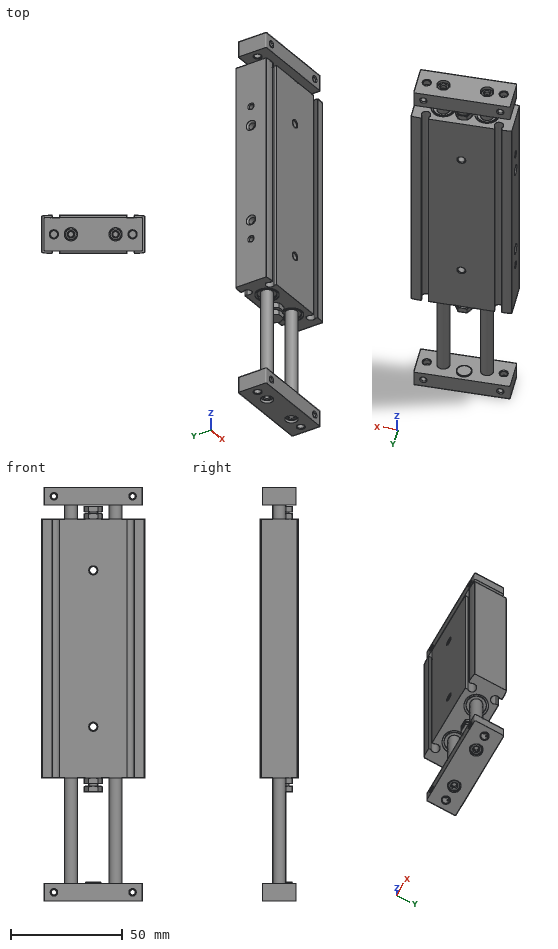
import cadquery as cq
import math

total_height = 184.9

plate_width = 44.0
plate_depth = 15.0
plate_height = 8.0
plate_corner_radius = 0.5

housing_width = 46.0
housing_depth = 17.0
housing_height = 115.5
top_gap = 6.3
corner_arc_width = 2.8
corner_arc_drop = 0.28
corner_chamfer = 0.28

groove_offset = 16.6
groove_mouth = 3.1
groove_diameter = 4.0
groove_depth = 2.5
groove_lip_chamfer = 0.28

recess_rim = 11.0
recess_rim_depth = 0.4
recess_diameter = 9.0
recess_depth = 1.1

rod_diameter = 6.0
rod_offset = 10.0
rod_recess = 1.0
rod_tip_chamfer = 0.5
rod_end_hole_depth = 2.2

small_bore = 2.4
small_rim = 3.3
medium_bore = 3.3
medium_rim = 4.0
plate_hole_offset = 17.5
face_hole_spacing = 69.9
side_hole_depth = 3.7
port_spacing = 50.0
port_rim = 5.0
port_bore = 3.3
port_passage = 2.4
port_passage_depth = 5.5

stop_offset = 2.4
hex_flats = 7.0
hex_height = 2.5
shank_diameter = 4.0
shank_insertion = 11.1
top_stop_length = 5.7
bottom_stop_length = 6.3
bumper_diameter = 7.0
bumper_height = 0.5
bumper_chamfer = 0.28

top_z = total_height / 2
bottom_z = -total_height / 2
housing_top = top_z - plate_height - top_gap
housing_bottom = housing_top - housing_height
housing_middle = (housing_top + housing_bottom) / 2


def cylinder(diameter, length, start, direction):
    """Solid cylinder running from a start point along a direction."""
    solid = cq.Solid.makeCylinder(diameter / 2, length, cq.Vector(*start), cq.Vector(*direction))
    return cq.Workplane(solid)


def cone(start_diameter, end_diameter, start, direction):
    """45-degree cone running from one diameter to the other."""
    length = abs(start_diameter - end_diameter) / 2
    origin = cq.Vector(*start)
    axis = cq.Vector(*direction)
    return cq.Workplane(cq.Solid.makeCone(start_diameter / 2, end_diameter / 2, length, origin, axis))


def screw_hole(bore, rim, depth, start, direction):
    """Cutter for a hole with a 45-degree countersink at its mouth."""
    return cylinder(bore, depth, start, direction).union(cone(rim, bore, start, direction))


def through_screw_hole(bore, rim, length, start, direction):
    """Cutter for a through hole countersunk at both mouths."""
    end = cq.Vector(*start) + cq.Vector(*direction) * length
    back = cq.Vector(*direction) * -1
    far_countersink = cone(rim, bore, end.toTuple(), back.toTuple())
    return screw_hole(bore, rim, length, start, direction).union(far_countersink)


def housing_blank():
    """Extruded block; each long corner is a shallow arc ending in a small chamfer."""
    half_width = housing_width / 2
    half_depth = housing_depth / 2
    arc_end = half_width - corner_chamfer
    arc_start = arc_end - corner_arc_width
    shoulder = half_depth - corner_arc_drop
    side_end = shoulder - corner_chamfer
    radius = (corner_arc_width**2 + corner_arc_drop**2) / (2 * corner_arc_drop)
    return (
        cq.Workplane("XY", origin=(0, 0, housing_bottom))
        .moveTo(-arc_start, -half_depth)
        .lineTo(arc_start, -half_depth)
        .radiusArc((arc_end, -shoulder), -radius)
        .lineTo(half_width, -side_end)
        .lineTo(half_width, side_end)
        .lineTo(arc_end, shoulder)
        .radiusArc((arc_start, half_depth), -radius)
        .lineTo(-arc_start, half_depth)
        .radiusArc((-arc_end, shoulder), -radius)
        .lineTo(-half_width, side_end)
        .lineTo(-half_width, -side_end)
        .lineTo(-arc_end, -shoulder)
        .radiusArc((-arc_start, -half_depth), -radius)
        .close()
        .extrude(housing_height)
    )


def switch_groove(side_x, side_y):
    """Cutter for one full-length groove; the outer lip of its mouth is chamfered."""
    x = side_x * groove_offset
    y = side_y * (housing_depth / 2 - groove_depth)
    channel = cylinder(groove_diameter, housing_height, (x, y, housing_bottom), (0, 0, 1))
    surface = side_y * housing_depth / 2
    inner_edge = x - side_x * groove_mouth / 2
    outer_edge = x + side_x * groove_mouth / 2
    mouth = (
        cq.Workplane("XY", origin=(0, 0, housing_bottom))
        .moveTo(inner_edge, y)
        .lineTo(inner_edge, surface)
        .lineTo(outer_edge + side_x * groove_lip_chamfer, surface)
        .lineTo(outer_edge, surface - side_y * groove_lip_chamfer)
        .lineTo(outer_edge, y)
        .close()
        .extrude(housing_height)
    )
    return channel.union(mouth)


def make_housing():
    body = housing_blank()
    for side_x in (-1, 1):
        rod_start = (side_x * rod_offset, 0, housing_bottom)
        body = body.cut(cylinder(rod_diameter, housing_height, rod_start, (0, 0, 1)))
        for side_y in (-1, 1):
            body = body.cut(switch_groove(side_x, side_y))

    front = -housing_depth / 2
    left = -housing_width / 2
    for side in (-1, 1):
        hole_z = housing_middle + side * face_hole_spacing / 2
        port_z = housing_middle + side * port_spacing / 2
        body = body.cut(
            through_screw_hole(medium_bore, medium_rim, housing_depth, (0, front, hole_z), (0, 1, 0))
        )
        body = body.cut(screw_hole(small_bore, small_rim, side_hole_depth, (left, 0, hole_z), (1, 0, 0)))
        body = body.cut(screw_hole(port_bore, port_rim, side_hole_depth, (left, 0, port_z), (1, 0, 0)))
        body = body.cut(cylinder(port_passage, port_passage_depth, (left, 0, port_z), (1, 0, 0)))

    for end_z, inward in ((housing_top, -1), (housing_bottom, 1)):
        body = body.cut(cylinder(shank_diameter, shank_insertion, (0, stop_offset, end_z), (0, 0, inward)))
        for side in (-1, 1):
            rod_centre = (side * rod_offset, 0, end_z)
            body = body.cut(cylinder(recess_rim, recess_rim_depth, rod_centre, (0, 0, inward)))
            body = body.cut(cylinder(recess_diameter, recess_depth, rod_centre, (0, 0, inward)))
    return body


def make_plate(bottom):
    """End plate with two rod bores, two vertical screw holes and two cross holes."""
    plate = (
        cq.Workplane("XY", origin=(0, 0, bottom))
        .rect(plate_width, plate_depth)
        .extrude(plate_height)
        .edges("|Z")
        .fillet(plate_corner_radius)
    )
    middle_z = bottom + plate_height / 2
    for side in (-1, 1):
        hole_x = side * plate_hole_offset
        rod_x = side * rod_offset
        cross_start = (hole_x, -plate_depth / 2, middle_z)
        plate = plate.cut(through_screw_hole(small_bore, small_rim, plate_depth, cross_start, (0, 1, 0)))
        plate = plate.cut(
            through_screw_hole(medium_bore, medium_rim, plate_height, (hole_x, 0, bottom), (0, 0, 1))
        )
        plate = plate.cut(cylinder(rod_diameter, plate_height, (rod_x, 0, bottom), (0, 0, 1)))
    return plate


def make_rod(x):
    """Rod through both plates, with chamfered tips and a centre hole in each end."""
    length = total_height - 2 * rod_recess
    rod = cylinder(rod_diameter, length, (x, 0, -length / 2), (0, 0, 1))
    rod = rod.faces("<Z or >Z").edges().chamfer(rod_tip_chamfer)
    for end in (-1, 1):
        tip = (x, 0, end * length / 2)
        rod = rod.cut(screw_hole(small_bore, small_rim, rod_end_hole_depth, tip, (0, 0, -end)))
    return rod


def hexagon(bottom):
    """Hexagonal prism on the stop axis, with two flats facing -Y and +Y."""
    corners = 2 * hex_flats / math.sqrt(3)
    return cq.Workplane("XY", origin=(0, stop_offset, bottom)).polygon(6, corners).extrude(hex_height)


def chamfered_hexagon(bottom, chamfer_below, chamfer_above):
    """Hexagon whose corners are trimmed by a 30-degree cone at the chosen ends."""
    corner_radius = hex_flats / math.sqrt(3)
    flat_radius = hex_flats / 2
    drop = (corner_radius - flat_radius) * math.tan(math.pi / 6)
    low_radius = flat_radius if chamfer_below else corner_radius
    high_radius = flat_radius if chamfer_above else corner_radius
    trim = (
        cq.Workplane("XZ", origin=(0, stop_offset, bottom))
        .moveTo(0, 0)
        .lineTo(low_radius, 0)
        .lineTo(corner_radius, drop)
        .lineTo(corner_radius, hex_height - drop)
        .lineTo(high_radius, hex_height)
        .lineTo(0, hex_height)
        .close()
        .revolve(360, (0, 0), (0, 1))
    )
    return hexagon(bottom).intersect(trim)


def make_stop(protrusion, end_z, outward):
    """Stop screw with its lock nut seated on one end face of the housing."""
    upward = outward > 0
    nut_bottom = end_z if upward else end_z - hex_height
    head_bottom = end_z + protrusion - hex_height if upward else end_z - protrusion
    nut = chamfered_hexagon(nut_bottom, upward, True)
    head = chamfered_hexagon(head_bottom, upward, not upward)
    shank_start = (0, stop_offset, end_z - outward * shank_insertion)
    shank = cylinder(shank_diameter, shank_insertion + protrusion - hex_height, shank_start, (0, 0, outward))
    return shank.union(nut).union(head)


def make_bumper():
    """Thin disc on the bottom plate, facing the bottom stop screw."""
    disc = cylinder(bumper_diameter, bumper_height, (0, stop_offset, bottom_z + plate_height), (0, 0, 1))
    return disc.faces(">Z").edges().chamfer(bumper_chamfer)


housing = make_housing()
top_plate = make_plate(top_z - plate_height)
bottom_plate = make_plate(bottom_z)
rods = [make_rod(side * rod_offset) for side in (-1, 1)]
top_stop = make_stop(top_stop_length, housing_top, 1)
bottom_stop = make_stop(bottom_stop_length, housing_bottom, -1)
bumper = make_bumper()

result = cq.Compound.makeCompound(
    [housing.val(), top_plate.val(), bottom_plate.val()]
    + [rod.val() for rod in rods]
    + [top_stop.val(), bottom_stop.val(), bumper.val()]
)